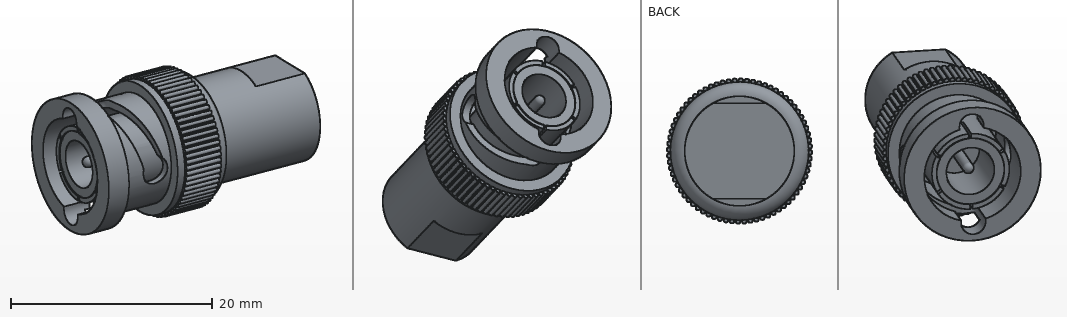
import cadquery as cq
import math

LENGTH = 26.2

RIM_RADIUS = 6.95
RIM_LENGTH = 2.4
BARREL_RADIUS = 5.71
COLLAR_RADIUS = 6.87
COLLAR_START = 8.25
KNURL_START = 9.1
KNURL_END = 13.24
NUT_END = 14.75

KNURL_COUNT = 72
KNURL_RADIUS = 7.23
RIB_RADIUS = 0.24
RIB_CENTRE_RADIUS = KNURL_RADIUS - RIB_RADIUS

NUT_BORE_RADIUS = 4.9
NUT_BORE_DEPTH = 12.05
NUT_TURN = -1.1

KEYWAY_RADIUS = 1.23
KEYWAY_CENTRE = 5.03
KEYWAY_DEPTH = 5.16
KEYWAY_END_FILLET = 0.45
DETENT_RADIUS = 1.45
DETENT_Y = 6.37
SLOT_WIDTH = 2 * KEYWAY_RADIUS
SLOT_PITCH = 9.8
SLOT_TURN = 90.0
SLOT_START_Y = DETENT_Y - SLOT_PITCH * SLOT_TURN / 360
CUT_MARGIN = 0.52
TRACK_INNER_RADIUS = NUT_BORE_RADIUS - CUT_MARGIN
TRACK_OUTER_RADIUS = BARREL_RADIUS + CUT_MARGIN

SHANK_RADIUS = 5.45
FLAT_HALF_GAP = 4.75
FLAT_LENGTH = 5.85
SLEEVE_RADIUS = 3.93
SLEEVE_FRONT = 0.95
INSULATOR_RADIUS = 3.43
INSULATOR_FRONT = 1.05
SOCKET_RADIUS = 2.45
SOCKET_DEPTH = 8.25
PIN_RADIUS = 0.55
PIN_FRONT = 1.55

SLIT_COUNT = 6
SLIT_WIDTH = 0.25
SLIT_END = 4.88

AXIS_START = (0, 0, 0)
AXIS_END = (0, 1, 0)


def turned(shape, degrees):
    """Turn a shape about the connector axis."""
    return shape.rotate(AXIS_START, AXIS_END, degrees)


def disc(radius, start, end):
    """Cylinder on the connector axis between two Y positions."""
    return cq.Workplane("ZX", origin=(0, start, 0)).circle(radius).extrude(end - start)


def nut_blank():
    """Revolved nut with its bore and the smaller hole that fits the sleeve."""
    shoulder_length = NUT_END - KNURL_END
    shoulder_width = COLLAR_RADIUS - SHANK_RADIUS
    halfway = math.sqrt(0.5)
    shoulder_middle = (SHANK_RADIUS + shoulder_width * halfway, KNURL_END + shoulder_length * halfway)
    return (
        cq.Workplane("XY")
        .moveTo(NUT_BORE_RADIUS, 0)
        .lineTo(RIM_RADIUS, 0)
        .lineTo(RIM_RADIUS, RIM_LENGTH)
        .lineTo(BARREL_RADIUS, RIM_LENGTH)
        .lineTo(BARREL_RADIUS, COLLAR_START)
        .lineTo(COLLAR_RADIUS, COLLAR_START)
        .lineTo(COLLAR_RADIUS, KNURL_END)
        .threePointArc(shoulder_middle, (SHANK_RADIUS, NUT_END))
        .lineTo(SLEEVE_RADIUS, NUT_END)
        .lineTo(SLEEVE_RADIUS, NUT_BORE_DEPTH)
        .lineTo(NUT_BORE_RADIUS, NUT_BORE_DEPTH)
        .close()
        .revolve(360, AXIS_START, AXIS_END)
    )


def knurl_ribs():
    """Round ribs half sunk in the collar."""
    return (
        cq.Workplane("ZX", origin=(0, KNURL_START, 0))
        .polarArray(RIB_CENTRE_RADIUS, 0, 360, KNURL_COUNT)
        .circle(RIB_RADIUS)
        .extrude(KNURL_END - KNURL_START)
    )


def keyway():
    """Straight entry for a bayonet stud, round at the outside and at its blind end."""
    entry = (
        cq.Workplane("ZX")
        .moveTo(TRACK_INNER_RADIUS, -KEYWAY_RADIUS)
        .lineTo(KEYWAY_CENTRE, -KEYWAY_RADIUS)
        .threePointArc((KEYWAY_CENTRE + KEYWAY_RADIUS, 0), (KEYWAY_CENTRE, KEYWAY_RADIUS))
        .lineTo(TRACK_INNER_RADIUS, KEYWAY_RADIUS)
        .close()
        .extrude(KEYWAY_DEPTH)
    )
    return entry.faces(">Y").edges("not <Z").fillet(KEYWAY_END_FILLET)


def helical_slot():
    """Quarter-turn helical slot, made about Z and then laid along Y."""
    middle_radius = (TRACK_INNER_RADIUS + TRACK_OUTER_RADIUS) / 2
    rise = SLOT_PITCH * SLOT_TURN / 360
    path = cq.Wire.makeHelix(SLOT_PITCH, rise, middle_radius)
    slot = (
        cq.Workplane("XZ", origin=(middle_radius, 0, 0))
        .rect(TRACK_OUTER_RADIUS - TRACK_INNER_RADIUS, SLOT_WIDTH)
        .sweep(cq.Workplane(obj=path), isFrenet=True)
    )
    lying = cq.Plane(origin=(0, SLOT_START_Y, 0), xDir=(0, 0, 1), normal=(0, 1, 0))
    return cq.Workplane(obj=slot.val().located(cq.Location(lying)))


def detent_hole():
    """Round hole at the end of the slot, where the stud locks."""
    return (
        cq.Workplane("YZ", origin=(TRACK_INNER_RADIUS, DETENT_Y, 0))
        .circle(DETENT_RADIUS)
        .extrude(TRACK_OUTER_RADIUS - TRACK_INNER_RADIUS)
    )


def make_coupling_nut():
    """Knurled nut with two opposite bayonet tracks."""
    nut = nut_blank().union(knurl_ribs())
    for side in (0, 180):
        for cutter in (keyway(), helical_slot(), detent_hole()):
            nut = nut.cut(turned(cutter, side))
    return turned(nut, NUT_TURN)


def sleeve_slits():
    """Round-ended slits that part the sleeve into spring fingers, down to the insulator."""
    straight_end = SLIT_END - SLIT_WIDTH / 2
    slit = (
        cq.Workplane("XY")
        .moveTo(-SLIT_WIDTH / 2, SLEEVE_FRONT)
        .lineTo(-SLIT_WIDTH / 2, straight_end)
        .threePointArc((0, SLIT_END), (SLIT_WIDTH / 2, straight_end))
        .lineTo(SLIT_WIDTH / 2, SLEEVE_FRONT)
        .close()
        .extrude(SLEEVE_RADIUS + CUT_MARGIN)
    )
    slits = cq.Workplane("XY")
    for index in range(SLIT_COUNT):
        slits = slits.add(turned(slit, NUT_TURN + index * 360 / SLIT_COUNT))
    return slits.combine().cut(disc(INSULATOR_RADIUS, SLEEVE_FRONT, SLIT_END))


def wrench_flats():
    """Material removed for the two flats at the cable end."""
    kept = cq.Workplane("XY").box(2 * SHANK_RADIUS, FLAT_LENGTH, 2 * FLAT_HALF_GAP)
    kept = kept.translate((0, LENGTH - FLAT_LENGTH / 2, 0))
    return disc(SHANK_RADIUS, LENGTH - FLAT_LENGTH, LENGTH).cut(kept)


def contact_pin():
    """Centre pin with a domed tip, standing on the floor of the socket."""
    shaft = disc(PIN_RADIUS, PIN_FRONT + PIN_RADIUS, SOCKET_DEPTH)
    dome = cq.Workplane("XY", origin=(0, PIN_FRONT + PIN_RADIUS, 0)).sphere(PIN_RADIUS)
    return shaft.union(dome)


def make_connector_body():
    """Shank, slit sleeve and insulator with its socket and pin, as one solid."""
    body = disc(SHANK_RADIUS, NUT_END, LENGTH).cut(wrench_flats())
    body = body.union(disc(SLEEVE_RADIUS, SLEEVE_FRONT, NUT_END).cut(sleeve_slits()))
    body = body.cut(disc(INSULATOR_RADIUS, SLEEVE_FRONT, INSULATOR_FRONT))
    body = body.cut(disc(SOCKET_RADIUS, INSULATOR_FRONT, SOCKET_DEPTH))
    return body.union(contact_pin())


coupling_nut = make_coupling_nut()
connector_body = make_connector_body()

result = cq.Compound.makeCompound([coupling_nut.val(), connector_body.val()])